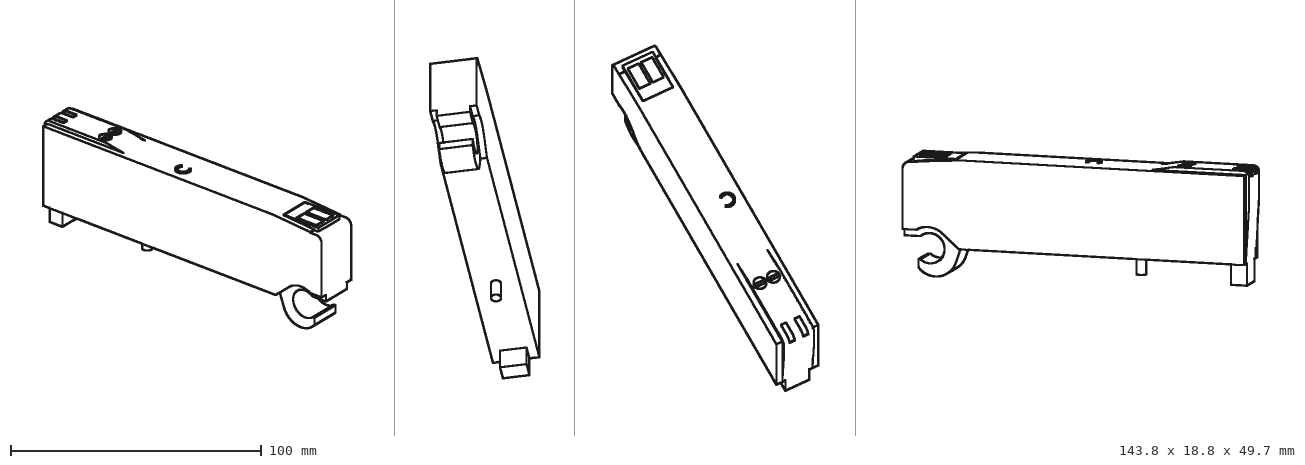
import cadquery as cq
import math

length = 143.8
housing_width = 18.8
housing_height = 36.1
inset_width = 13.5
pair_spacing = 6.0
engraving_depth = 0.3

body_start = 1.5
end_cap_start = 137.9
end_cap_height = 34.4
end_cap_radius = 2.9
top_slope_start = 118.9
top_slope_end_height = 34.7

cover_height = 37.7
cover_round = 2.6
cover_flat_end = 31.3
cover_slope_end = 40.4
cover_taper_top = 24.6
groove_width = 2.3
groove_end = 7.6
screw_x = 28.0
screw_diameter = 5.2
screw_slot_width = 1.3
screw_slot_depth = 0.7

block_start = 122.2
block_end = 139.9
block_base = 28.8
window_start = 127.8
window_width = 4.9

ring_x = 67.6
ring_y = -2.7
ring_outer_diameter = 6.3
ring_inner_diameter = 4.9
ring_rise = 0.5
ring_half_opening = 50.0

foot_length = 6.6
foot_width = 10.8
foot_drop = 9.0
pin_x = 47.0
pin_diameter = 4.0
pin_drop = 7.8

hook_corner = (120.2, 0.0)
rail_center = (133.2, -0.7)
rail_diameter = 12.2
rail_opening = 9.3
hook_radius = 9.0
jaw_center = (130.9, -3.0)


def extrude_profile(profile, width):
    """Extrude a closed XZ profile symmetrically about Y = 0."""
    return profile.extrude(width / 2, both=True)


def box_between(x_range, y_center, width, z_range):
    """Box from its X and Z limits, centred on y_center."""
    size_x = x_range[1] - x_range[0]
    size_z = z_range[1] - z_range[0]
    box = cq.Workplane("XY").box(size_x, width, size_z, centered=(False, True, False))
    return box.translate((x_range[0], y_center, z_range[0]))


def point_on_circle(center, radius, angle):
    return (center[0] + radius * math.cos(angle), center[1] + radius * math.sin(angle))


def tangent_angle(point, center, radius, side):
    """Angle, seen from the center, where a line from the point touches the circle."""
    dx = point[0] - center[0]
    dz = point[1] - center[1]
    return math.atan2(dz, dx) + side * math.acos(radius / math.hypot(dx, dz))


def make_housing():
    cap_round_start = length - end_cap_radius
    arc_center = (cap_round_start, end_cap_height - end_cap_radius)
    profile = (
        cq.Workplane("XZ")
        .moveTo(body_start, 0)
        .lineTo(body_start, housing_height)
        .lineTo(top_slope_start, housing_height)
        .lineTo(end_cap_start, top_slope_end_height)
        .lineTo(end_cap_start, end_cap_height)
        .lineTo(cap_round_start, end_cap_height)
        .threePointArc(
            point_on_circle(arc_center, end_cap_radius, math.radians(45)),
            (length, arc_center[1]),
        )
        .lineTo(length, 0)
        .close()
    )
    return extrude_profile(profile, housing_width)


def make_cover(inset=0.0):
    """Cover body; a positive inset shrinks its left, rounded and top faces."""
    radius = cover_round - inset
    arc_center = (cover_round, cover_height - cover_round)
    profile = (
        cq.Workplane("XZ")
        .moveTo(body_start + inset, 0)
        .lineTo(inset, cover_taper_top)
        .lineTo(inset, arc_center[1])
        .threePointArc(
            point_on_circle(arc_center, radius, math.radians(135)),
            (cover_round, cover_height - inset),
        )
        .lineTo(cover_flat_end, cover_height - inset)
        .lineTo(cover_slope_end, housing_height - inset)
        .lineTo(cover_slope_end, 0)
        .close()
    )
    return extrude_profile(profile, inset_width)


def make_cover_groove(y):
    """Shallow groove running over the rounded edge onto the top of the cover."""
    z_range = (cover_height - cover_round, cover_height)
    zone = box_between((0, groove_end), y, groove_width, z_range)
    return zone.cut(make_cover(engraving_depth))


def make_screw_disc(y, depth):
    """Disc reaching down from the top of the cover at one screw."""
    top = cq.Workplane("XY", origin=(screw_x, y, cover_height))
    return top.circle(screw_diameter / 2).extrude(-depth)


def make_screw_recess(y):
    """Round screw face, slightly sunk, with a deeper driver slot across it."""
    slot_x = (screw_x - screw_slot_width / 2, screw_x + screw_slot_width / 2)
    slot_z = (cover_height - screw_slot_depth, cover_height)
    slot_zone = box_between(slot_x, y, screw_diameter, slot_z)
    slot = make_screw_disc(y, screw_slot_depth).intersect(slot_zone)
    return make_screw_disc(y, engraving_depth).union(slot)


def make_open_ring():
    """Ring on the housing top with a wedge removed towards +Y."""
    top = cq.Workplane("XY", origin=(ring_x, ring_y, housing_height))
    ring = top.circle(ring_outer_diameter / 2).circle(ring_inner_diameter / 2).extrude(ring_rise)
    reach = ring_outer_diameter
    half_width = reach * math.tan(math.radians(ring_half_opening))
    wedge = top.polyline([(0, 0), (half_width, reach), (-half_width, reach)]).close().extrude(ring_rise)
    return ring.cut(wedge)


def hook_upper_edge():
    """Start of the hook outline: from its corner over the rail to the end of the housing."""
    touch = tangent_angle(hook_corner, rail_center, hook_radius, -1)
    end = math.acos((end_cap_start - rail_center[0]) / hook_radius)
    end_point = point_on_circle(rail_center, hook_radius, end)
    return (
        cq.Workplane("XZ")
        .moveTo(*hook_corner)
        .lineTo(*point_on_circle(rail_center, hook_radius, touch))
        .threePointArc(point_on_circle(rail_center, hook_radius, math.pi / 2), end_point)
        .lineTo(length, end_point[1])
    )


def make_hook_clearance():
    """Full-width space under the hook outline, where the housing sides are cut away."""
    return extrude_profile(hook_upper_edge().lineTo(length, 0).close(), housing_width)


def make_hook():
    touch = tangent_angle(hook_corner, jaw_center, hook_radius, 1)
    tip = -math.acos((end_cap_start - jaw_center[0]) / hook_radius)
    profile = (
        hook_upper_edge()
        .lineTo(length, rail_center[1])
        .lineTo(end_cap_start, rail_center[1])
        .lineTo(*point_on_circle(jaw_center, hook_radius, tip))
        .threePointArc(
            point_on_circle(jaw_center, hook_radius, -math.pi / 2),
            point_on_circle(jaw_center, hook_radius, touch),
        )
        .close()
    )
    rail = extrude_profile(
        cq.Workplane("XZ").center(*rail_center).circle(rail_diameter / 2), inset_width
    )
    opening_z = (rail_center[1] - rail_opening / 2, rail_center[1] + rail_opening / 2)
    opening = box_between((rail_center[0], length), 0, inset_width, opening_z)
    return extrude_profile(profile, inset_width).cut(rail).cut(opening)


result = make_housing().cut(make_hook_clearance()).union(make_hook()).union(make_cover())
result = result.union(
    box_between((block_start, block_end), 0, inset_width, (block_base, housing_height))
)

foot = box_between((body_start, body_start + foot_length), 0, foot_width, (-foot_drop, 0))
pin = cq.Workplane("XY").center(pin_x, 0).circle(pin_diameter / 2).extrude(-pin_drop)
result = result.union(foot).union(pin).union(make_open_ring())

window_z = (housing_height - engraving_depth, housing_height)
for y in (-pair_spacing / 2, pair_spacing / 2):
    result = result.cut(make_cover_groove(y))
    result = result.cut(make_screw_recess(y))
    result = result.cut(box_between((window_start, end_cap_start), y, window_width, window_z))